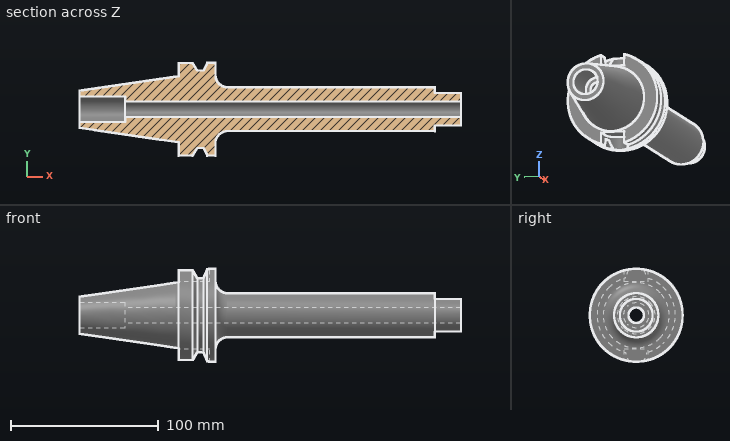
import cadquery as cq
import math

total_length = 258.7
taper_end = 65.5
flange_start = 67.3
groove_start = 76.8
groove_floor_start = 80.0
groove_floor_end = 84.0
groove_end = 86.7
flange_end = 92.4
shank_end = 240.8

taper_small_radius = 12.7
taper_large_radius = 22.2
flange_radius = 31.5
groove_floor_radius = 26.5
shank_radius = 15.0
nose_radius = 11.0
root_fillet_radius = 8.0

bore_radius = 5.2
counterbore_radius = 8.5
counterbore_depth = 31.0

slot_width = 16.3
slot_floor_height = 22.8
slot_end = 88.2


def make_body():
    """Revolve the half profile of taper, grooved flange, shank and nose."""
    arc_offset = root_fillet_radius * (1 - math.sqrt(0.5))
    arc_middle = (flange_end + arc_offset, shank_radius + arc_offset)
    arc_tail = (flange_end + root_fillet_radius, shank_radius)
    profile = (
        cq.Workplane("XY")
        .lineTo(0, taper_small_radius)
        .lineTo(taper_end, taper_large_radius)
        .lineTo(flange_start, taper_large_radius)
        .lineTo(flange_start, flange_radius)
        .lineTo(groove_start, flange_radius)
        .lineTo(groove_floor_start, groove_floor_radius)
        .lineTo(groove_floor_end, groove_floor_radius)
        .lineTo(groove_end, flange_radius)
        .lineTo(flange_end, flange_radius)
        .lineTo(flange_end, shank_radius + root_fillet_radius)
        .threePointArc(arc_middle, arc_tail)
        .lineTo(shank_end, shank_radius)
        .lineTo(shank_end, nose_radius)
        .lineTo(total_length, nose_radius)
        .lineTo(total_length, 0)
        .close()
    )
    return profile.revolve(360, (0, 0, 0), (1, 0, 0))


def make_bore():
    """Through bore with a wider counterbore at the taper end."""
    bore = cq.Workplane("YZ").circle(bore_radius).extrude(total_length)
    counterbore = cq.Workplane("YZ").circle(counterbore_radius).extrude(counterbore_depth)
    return bore.union(counterbore)


def make_drive_slot():
    """Upper slot cutter: open at the flange face, with a round inner end."""
    half_width = slot_width / 2
    straight_end = slot_end - half_width
    return (
        cq.Workplane("XY", origin=(0, 0, slot_floor_height))
        .moveTo(flange_start, -half_width)
        .lineTo(straight_end, -half_width)
        .threePointArc((slot_end, 0), (straight_end, half_width))
        .lineTo(flange_start, half_width)
        .close()
        .extrude(flange_radius)
    )


upper_slot = make_drive_slot()
lower_slot = upper_slot.mirror("XY")
result = make_body().cut(make_bore()).cut(upper_slot).cut(lower_slot)